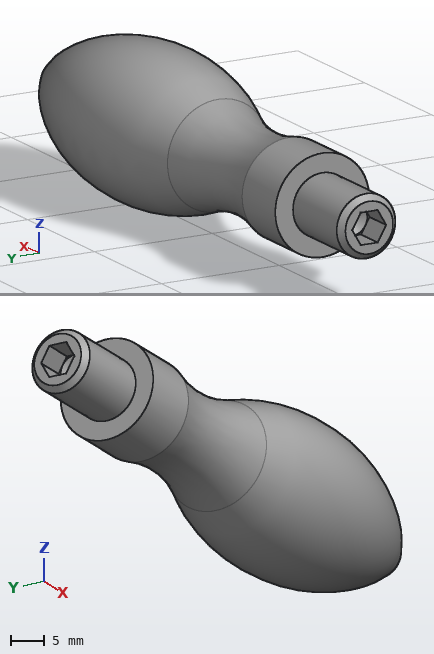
import cadquery as cq
import math

length = 94.0
pin_length = 14.0
collar_end = 24.0
neck_waist = 33.4
neck_end = 45.1
grip_crest = 63.9
tip_start = 92.1

pin_diameter = 10.0
collar_diameter = 16.0
waist_diameter = 13.35
neck_end_diameter = 17.3
crest_diameter = 24.9
tip_diameter = 7.0

pin_chamfer = 0.9

socket_flats = 5.0
socket_depth = 5.0
floor_cone_angle = 120.0


def make_handle():
    """Revolve the half profile of pin, collar, neck, grip and rounded tip."""
    tip_radius = tip_diameter / 2
    tip_height = length - tip_start
    dome_radius = (tip_radius**2 + tip_height**2) / (2 * tip_height)
    dome_center = length - dome_radius
    dome_half_angle = math.asin(tip_radius / dome_radius) / 2
    dome_middle = (
        dome_center + dome_radius * math.cos(dome_half_angle),
        dome_radius * math.sin(dome_half_angle),
    )

    profile = (
        cq.Workplane("XY")
        .lineTo(0, pin_diameter / 2 - pin_chamfer)
        .lineTo(pin_chamfer, pin_diameter / 2)
        .lineTo(pin_length, pin_diameter / 2)
        .lineTo(pin_length, collar_diameter / 2)
        .lineTo(collar_end, collar_diameter / 2)
        .threePointArc((neck_waist, waist_diameter / 2), (neck_end, neck_end_diameter / 2))
        .threePointArc((grip_crest, crest_diameter / 2), (tip_start, tip_radius))
        .threePointArc(dome_middle, (length, 0))
        .close()
    )
    return profile.revolve(360, (0, 0, 0), (1, 0, 0))


def make_socket():
    """Hexagon with corners toward +Y and -Y, ending in a drill-point cone."""
    across_corners = socket_flats / math.cos(math.pi / 6)
    hexagon = cq.Workplane("YZ").polygon(6, across_corners).extrude(socket_depth)

    cone_radius = socket_flats / 2
    cone_depth = cone_radius / math.tan(math.radians(floor_cone_angle / 2))
    floor_cone = (
        cq.Workplane("XY")
        .moveTo(socket_depth, 0)
        .lineTo(socket_depth, cone_radius)
        .lineTo(socket_depth + cone_depth, 0)
        .close()
        .revolve(360, (0, 0, 0), (1, 0, 0))
    )
    return hexagon.union(floor_cone)


result = make_handle().cut(make_socket())